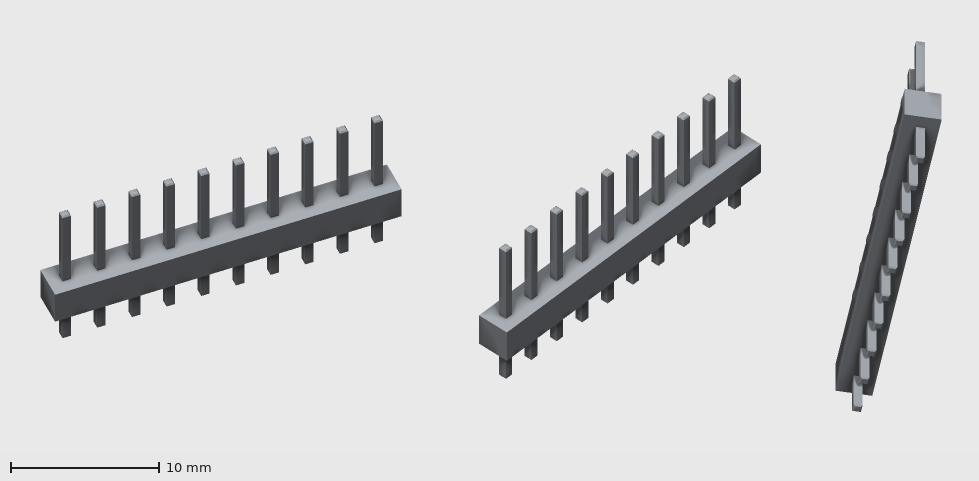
import cadquery as cq

unit_count = 10
pitch = 2.54
block_height = 2.6

pin_width = 0.62
pin_above = 6.2
pin_below = 3.0
pin_length = pin_below + block_height + pin_above
tip_chamfer = 0.1


def make_block():
    """Block that fills one pitch of the row, with its base at Z = 0."""
    return cq.Workplane("XY").box(pitch, pitch, block_height, centered=(True, True, False))


def make_pin():
    """Square pin with all the edges of both tips chamfered."""
    return (
        cq.Workplane("XY")
        .workplane(offset=-pin_below)
        .rect(pin_width, pin_width)
        .extrude(pin_length)
        .faces("<Z or >Z")
        .chamfer(tip_chamfer)
    )


def make_unit(y_position):
    """One block and its pin as a single solid."""
    return make_block().union(make_pin()).translate((0, y_position, 0))


first_y = -pitch * (unit_count - 1) / 2
units = [make_unit(first_y + index * pitch) for index in range(unit_count)]

result = cq.Compound.makeCompound([unit.val() for unit in units])